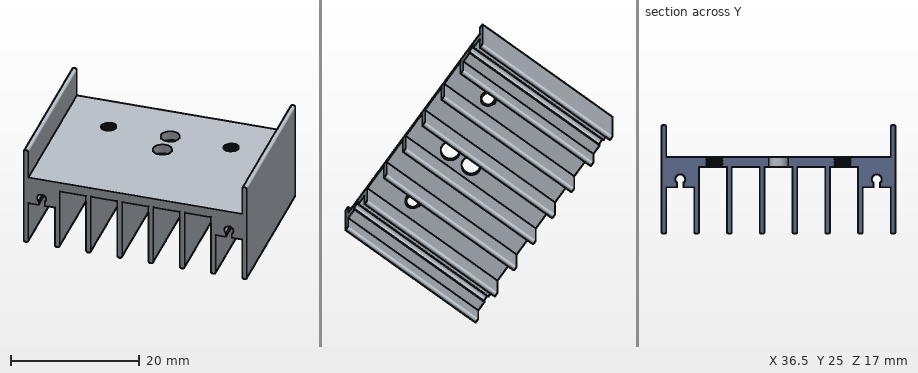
import cadquery as cq
import math

width = 36.5
length = 25.0
height = 17.0

fin_count = 8
fin_thickness = 0.8
wall_center = (width - fin_thickness) / 2
fin_pitch = 2 * wall_center / (fin_count - 1)
tip_radius = fin_thickness / 2
plate_top = 12.0
plate_bottom = 10.4
block_bottom = 7.25
block_center = wall_center - fin_pitch / 2

channel_diameter = 1.5
channel_height = 8.5
channel_mouth = 1.0

clearance_diameter = 3.0
clearance_y = (1.5, 5.5)
thread_x = 10.0
thread_y = 5.5

thread_major = 2.5
thread_minor = 2.0
thread_pitch = 0.45
thread_root_flat = thread_pitch / 8
thread_mouth = thread_pitch * 7 / 8
thread_phase = -45.0
thread_overrun_turns = 2

overlap = 0.1
bore_overlap = 0.05


def bar(x_min, x_max, z_min, z_max):
    """Rectangular bar running the full length of the extrusion."""
    return (
        cq.Workplane("XY")
        .box(x_max - x_min, length, z_max - z_min, centered=(False, True, False))
        .translate((x_min, 0, z_min))
    )


def fin(x_center, top, rounded_top):
    """Upright fin standing on Z = 0 with a fully rounded lower tip and, if asked, upper tip."""
    half = fin_thickness / 2
    straight_top = top - tip_radius if rounded_top else top
    profile = (
        cq.Workplane("XZ", origin=(0, length / 2, 0))
        .moveTo(x_center - half, straight_top)
        .lineTo(x_center - half, tip_radius)
        .threePointArc((x_center, 0), (x_center + half, tip_radius))
        .lineTo(x_center + half, straight_top)
    )
    if rounded_top:
        profile = profile.threePointArc((x_center, top), (x_center - half, straight_top))
    return profile.close().extrude(length)


def make_extrusion():
    """Plate, fins, tall side walls and the solid corner blocks."""
    body = bar(-wall_center, wall_center, plate_bottom, plate_top)
    for index in range(fin_count):
        x_center = index * fin_pitch - wall_center
        is_side_wall = index in (0, fin_count - 1)
        top = height if is_side_wall else plate_top
        body = body.union(fin(x_center, top, is_side_wall))
    for side in (-1, 1):
        x_center = side * block_center
        x_min = x_center - fin_pitch / 2
        x_max = x_center + fin_pitch / 2
        body = body.union(bar(x_min, x_max, block_bottom, plate_top))
    return body


def keyhole_channel(x_center):
    """Round channel opening downwards through a narrower mouth."""
    half = channel_mouth / 2
    round_part = (
        cq.Workplane("XZ", origin=(x_center, length / 2, channel_height))
        .circle(channel_diameter / 2)
        .extrude(length)
    )
    mouth = bar(x_center - half, x_center + half, block_bottom - overlap, channel_height)
    return round_part.union(mouth)


def plate_hole(x, y, diameter):
    """Cylinder passing through the plate."""
    depth = plate_top - plate_bottom + 2 * overlap
    return (
        cq.Workplane("XY", origin=(x, y, plate_bottom - overlap))
        .circle(diameter / 2)
        .extrude(depth)
    )


def thread_groove(x, y):
    """Helical groove that runs out through both faces of the plate.

    Its flanks continue a little way into the bore, so that the bore trims them cleanly.
    """
    major_radius = thread_major / 2
    inner_radius = thread_minor / 2 - bore_overlap
    root_half = thread_root_flat / 2
    mouth_half = thread_mouth / 2
    turns = math.ceil((plate_top - plate_bottom) / thread_pitch) + thread_overrun_turns
    start_z = plate_top + thread_pitch - turns * thread_pitch
    helix = cq.Wire.makeHelix(thread_pitch, turns * thread_pitch, thread_minor / 2)
    groove = (
        cq.Workplane("XZ")
        .moveTo(inner_radius, -mouth_half)
        .lineTo(major_radius, -root_half)
        .lineTo(major_radius, root_half)
        .lineTo(inner_radius, mouth_half)
        .close()
        .sweep(cq.Workplane(obj=helix), isFrenet=True)
    )
    return groove.rotate((0, 0, 0), (0, 0, 1), thread_phase).translate((x, y, start_z))


result = make_extrusion()
for side in (-1, 1):
    result = result.cut(keyhole_channel(side * block_center))
for y in clearance_y:
    result = result.cut(plate_hole(0, y, clearance_diameter))
for side in (-1, 1):
    x = side * thread_x
    result = result.cut(thread_groove(x, thread_y))
    result = result.cut(plate_hole(x, thread_y, thread_minor))